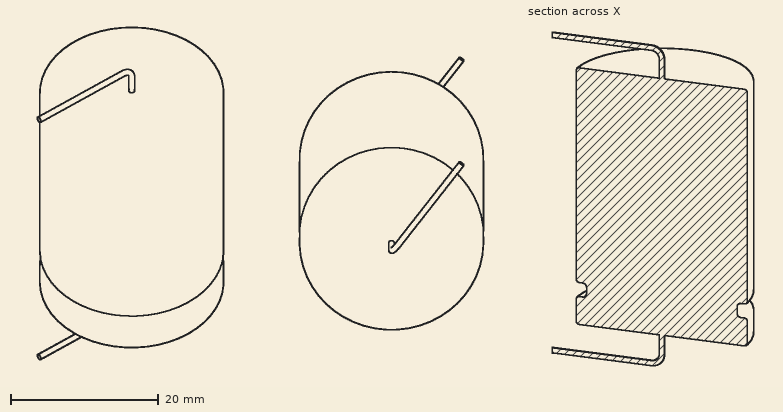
import cadquery as cq
import math

body_radius = 12.5
body_height = 37.1
edge_radius = 0.5

groove_bottom = 4.1
groove_width = 1.95
groove_depth = 1.5

overall_height = 46.28
lead_diameter = 0.8
lead_reach = 15.94
lead_bend_radius = 1.5
lead_rise = (overall_height - body_height - lead_diameter) / 2


def make_can():
    """Cylindrical can with a crimp groove and rounded edges."""
    groove_radius = body_radius - groove_depth
    groove_top = groove_bottom + groove_width
    can = (
        cq.Workplane("XZ")
        .moveTo(0, 0)
        .lineTo(body_radius, 0)
        .lineTo(body_radius, groove_bottom)
        .lineTo(groove_radius, groove_bottom)
        .lineTo(groove_radius, groove_top)
        .lineTo(body_radius, groove_top)
        .lineTo(body_radius, body_height)
        .lineTo(0, body_height)
        .close()
        .revolve(360, axisStart=(0, 0), axisEnd=(0, 1))
    )
    return can.edges("%CIRCLE").fillet(edge_radius)


def make_lead(end_face_height, direction):
    """Wire leaving an end face along Z (direction +1 or -1), then bent toward -Y."""
    run_height = end_face_height + direction * lead_rise
    bend_start = run_height - direction * lead_bend_radius
    diagonal_offset = lead_bend_radius * math.sqrt(0.5)
    bend_middle = (diagonal_offset - lead_bend_radius, bend_start + direction * diagonal_offset)
    centerline = (
        cq.Workplane("YZ")
        .moveTo(0, end_face_height)
        .lineTo(0, bend_start)
        .threePointArc(bend_middle, (-lead_bend_radius, run_height))
        .lineTo(-lead_reach, run_height)
    )
    section = cq.Workplane("XY", origin=(0, 0, end_face_height)).circle(lead_diameter / 2)
    return section.sweep(centerline)


lower_lead = make_lead(0, -1)
upper_lead = make_lead(body_height, 1)
result = make_can().union(lower_lead).union(upper_lead)